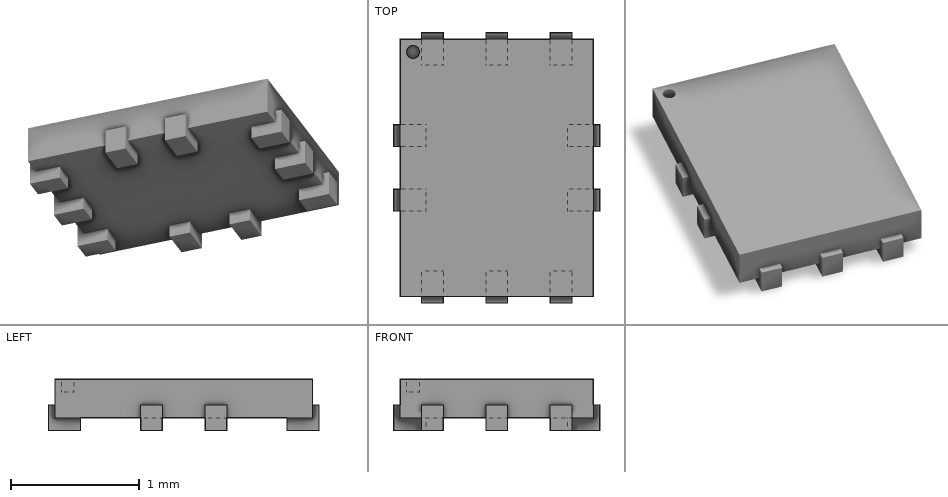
import cadquery as cq

body_width = 1.5
body_length = 2.0
body_height = 0.3
standoff = 0.1
body_top = standoff + body_height

terminal_width = 0.17
terminal_height = 0.2
terminal_depth = 0.25
terminal_overhang = 0.05
terminal_pitch = 0.5
terminals_per_end = 3
terminals_per_side = 2

mark_diameter = 0.1
mark_depth = 0.1
mark_edge_distance = 0.1


def row_positions(count):
    """Positions of `count` terminals at the common pitch, centred on zero."""
    return [(i - (count - 1) / 2) * terminal_pitch for i in range(count)]


def upright_block(size_x, size_y, height, x, y, bottom):
    """Rectangular block centred at (x, y) and standing on height `bottom`."""
    block = cq.Workplane("XY").box(size_x, size_y, height, centered=(True, True, False))
    return block.translate((x, y, bottom))


def add_terminals(part):
    """Join the terminals of all four edges to the body."""
    inset = terminal_overhang - terminal_depth / 2
    end_y = body_length / 2 + inset
    side_x = body_width / 2 + inset
    for direction in (-1, 1):
        for x in row_positions(terminals_per_end):
            part = part.union(
                upright_block(terminal_width, terminal_depth, terminal_height, x, direction * end_y, 0)
            )
        for y in row_positions(terminals_per_side):
            part = part.union(
                upright_block(terminal_depth, terminal_width, terminal_height, direction * side_x, y, 0)
            )
    return part


def cut_pin_one_mark(part):
    """Sink the round mark at the -X, +Y corner of the top face."""
    mark_x = -body_width / 2 + mark_edge_distance
    mark_y = body_length / 2 - mark_edge_distance
    recess = (
        cq.Workplane("XY", origin=(mark_x, mark_y, body_top - mark_depth))
        .circle(mark_diameter / 2)
        .extrude(mark_depth)
    )
    return part.cut(recess)


body = upright_block(body_width, body_length, body_height, 0, 0, standoff)
result = cut_pin_one_mark(add_terminals(body))